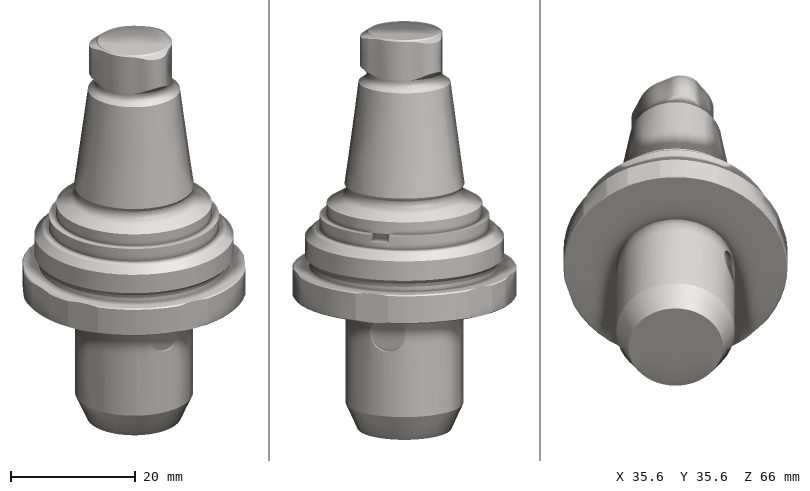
import cadquery as cq
import math

TOTAL_HEIGHT = 66.0

SHANK_RADIUS = 19.0 / 2
NOSE_RADIUS = 7.6
NOSE_HEIGHT = 4.3

FLANGE_BOTTOM = 22.05
FLANGE_TOP = 26.85
FLAT_DISTANCE = 35.6 / 2
FLAT_HALF_WIDTH = 2.7
FLANGE_RADIUS = math.hypot(FLAT_DISTANCE, FLAT_HALF_WIDTH)
FLANGE_CHAMFER = 0.2
FLAT_ANGLES = (0, 60, 90, 120, 180, 240, 270, 300)

GROOVE_RADIUS = 30.1 / 2
GROOVE_FOOT_RADIUS = 15.3
GROOVE_FOOT_TOP = 27.45
GROOVE_TOP = 28.1

COLLAR_RADIUS = 32.0 / 2
COLLAR_LOWER_CHAMFER = 0.6
COLLAR_TOP = 33.25
COLLAR_UPPER_CHAMFER = 1.3
COLLAR_CREST_ROUND = 0.65

WIDE_RING_RADIUS = 27.3 / 2
WIDE_RING_TOP = 35.45
NARROW_RING_RADIUS = 25.0 / 2
NARROW_RING_TOP = 37.5
FLARE_RADIUS = 10.0
FLARE_TOP = 38.9

UNDERCUT_RADIUS = 9.4
UNDERCUT_BOTTOM = 39.9
UNDERCUT_TOP = 40.1
TAPER_BOTTOM_RADIUS = 9.65
TAPER_BOTTOM = 40.65
TAPER_TOP_RADIUS = 7.4
TAPER_TOP = 57.55
SHOULDER_RADIUS = 6.55
SHOULDER_TOP = 58.15
NECK_RADIUS = 6.1
NECK_BOTTOM = 59.0

LOBE_COUNT = 3
HEAD_BOTTOM = 59.35
HEAD_RADIUS = 6.15
LOBE_TIP_RADIUS = 7.23
LOBE_ROUND_RADIUS = 3.05
LOBE_BLEND_RADIUS = 14.5
HEAD_TOP_FACE_RADIUS = 5.8
HEAD_TOP_CHAMFER = 0.2
LOBE_RIM_DROP = 0.6

NOTCH_WIDTH = 3.1
NOTCH_DEPTH = 1.2

SEAT_DIAMETER = 6.0
SEAT_HEIGHT = 18.0
SEAT_DISTANCE = 9.0


def revolve_outline(outline):
    return outline.close().revolve(360, (0, 0, 0), (0, 1, 0))


def turned_body():
    """Everything that is round about Z, up to the inside of the head."""
    crest_radius = COLLAR_RADIUS - COLLAR_UPPER_CHAMFER
    crest_setback = COLLAR_CREST_ROUND * math.tan(math.radians(45 / 2))
    crest_step = crest_setback / math.sqrt(2)
    outline = (
        cq.Workplane("XZ")
        .moveTo(0, 0)
        .lineTo(NOSE_RADIUS, 0)
        .lineTo(SHANK_RADIUS, NOSE_HEIGHT)
        .lineTo(SHANK_RADIUS, FLANGE_BOTTOM)
        .lineTo(GROOVE_FOOT_RADIUS, FLANGE_BOTTOM)
        .lineTo(GROOVE_FOOT_RADIUS, FLANGE_TOP)
        .lineTo(GROOVE_RADIUS, GROOVE_FOOT_TOP)
        .lineTo(GROOVE_RADIUS, GROOVE_TOP)
        .lineTo(COLLAR_RADIUS - COLLAR_LOWER_CHAMFER, GROOVE_TOP)
        .lineTo(COLLAR_RADIUS, GROOVE_TOP + COLLAR_LOWER_CHAMFER)
        .lineTo(COLLAR_RADIUS, COLLAR_TOP - COLLAR_UPPER_CHAMFER)
        .lineTo(crest_radius + crest_step, COLLAR_TOP - crest_step)
        .tangentArcPoint((crest_radius - crest_setback, COLLAR_TOP), relative=False)
        .lineTo(WIDE_RING_RADIUS, COLLAR_TOP)
        .lineTo(WIDE_RING_RADIUS, WIDE_RING_TOP)
        .lineTo(NARROW_RING_RADIUS, WIDE_RING_TOP)
        .lineTo(NARROW_RING_RADIUS, NARROW_RING_TOP)
        .lineTo(FLARE_RADIUS, FLARE_TOP)
        .tangentArcPoint((UNDERCUT_RADIUS, UNDERCUT_BOTTOM), relative=False)
        .lineTo(UNDERCUT_RADIUS, UNDERCUT_TOP)
        .lineTo(TAPER_BOTTOM_RADIUS, TAPER_BOTTOM)
        .lineTo(TAPER_TOP_RADIUS, TAPER_TOP)
        .lineTo(SHOULDER_RADIUS, SHOULDER_TOP)
        .tangentArcPoint((NECK_RADIUS, NECK_BOTTOM), relative=False)
        .lineTo(NECK_RADIUS, HEAD_BOTTOM)
        .lineTo(0, HEAD_BOTTOM)
    )
    return revolve_outline(outline)


def wrench_flange():
    """Disc with chamfered rims and flats tangent to the across-flats circle."""
    height = FLANGE_TOP - FLANGE_BOTTOM
    flange = (
        cq.Workplane("XY", origin=(0, 0, FLANGE_BOTTOM))
        .circle(FLANGE_RADIUS)
        .extrude(height)
        .edges()
        .chamfer(FLANGE_CHAMFER)
    )
    cutter = (
        cq.Workplane("XY", origin=(0, 0, FLANGE_BOTTOM))
        .center(FLAT_DISTANCE + FLANGE_RADIUS / 2, 0)
        .rect(FLANGE_RADIUS, 2 * FLANGE_RADIUS)
        .extrude(height)
    )
    for angle in FLAT_ANGLES:
        flange = flange.cut(cutter.rotate((0, 0, 0), (0, 0, 1), angle))
    return flange


def polar(radius, degrees, center=(0, 0)):
    angle = math.radians(degrees)
    return (center[0] + radius * math.cos(angle), center[1] + radius * math.sin(angle))


def lobed_outline():
    """Round outline with three lobes, joined by concave arcs tangent to both."""
    lobe_offset = LOBE_TIP_RADIUS - LOBE_ROUND_RADIUS
    blend_offset = HEAD_RADIUS + LOBE_BLEND_RADIUS
    blend_to_lobe = LOBE_ROUND_RADIUS + LOBE_BLEND_RADIUS
    cosine = (blend_offset**2 + lobe_offset**2 - blend_to_lobe**2) / (2 * blend_offset * lobe_offset)
    blend_angle = math.degrees(math.acos(cosine))
    blend_x, blend_y = polar(blend_offset, blend_angle)
    lobe_end_angle = math.degrees(math.atan2(blend_y, blend_x - lobe_offset))
    blend_mid_angle = 180 + (blend_angle + lobe_end_angle) / 2

    pitch = 360 / LOBE_COUNT
    wire = cq.Workplane("XY", origin=(0, 0, HEAD_BOTTOM))
    for index in range(LOBE_COUNT):
        axis = index * pitch
        lobe_center = polar(lobe_offset, axis)
        if index == 0:
            wire = wire.moveTo(*polar(LOBE_ROUND_RADIUS, -lobe_end_angle, lobe_center))
        wire = wire.threePointArc(
            polar(LOBE_TIP_RADIUS, axis),
            polar(LOBE_ROUND_RADIUS, axis + lobe_end_angle, lobe_center),
        )
        wire = wire.threePointArc(
            polar(LOBE_BLEND_RADIUS, axis + blend_mid_angle, polar(blend_offset, axis + blend_angle)),
            polar(HEAD_RADIUS, axis + blend_angle),
        )
        wire = wire.threePointArc(
            polar(HEAD_RADIUS, axis + pitch / 2),
            polar(HEAD_RADIUS, axis + pitch - blend_angle),
        )
        next_axis = axis + pitch
        next_blend_center = polar(blend_offset, next_axis - blend_angle)
        wire = wire.threePointArc(
            polar(LOBE_BLEND_RADIUS, next_axis - blend_mid_angle, next_blend_center),
            polar(LOBE_ROUND_RADIUS, next_axis - lobe_end_angle, polar(lobe_offset, next_axis)),
        )
    return wire.close()


def lobed_head():
    """Lobed prism trimmed by a 45 degree cone below and a chamfered shallow cone on top."""
    prism = lobed_outline().extrude(TOTAL_HEIGHT - HEAD_BOTTOM)
    trim = revolve_outline(
        cq.Workplane("XZ")
        .moveTo(0, HEAD_BOTTOM)
        .lineTo(HEAD_RADIUS, HEAD_BOTTOM)
        .lineTo(LOBE_TIP_RADIUS, HEAD_BOTTOM + LOBE_TIP_RADIUS - HEAD_RADIUS)
        .lineTo(LOBE_TIP_RADIUS, TOTAL_HEIGHT - LOBE_RIM_DROP)
        .lineTo(HEAD_TOP_FACE_RADIUS + HEAD_TOP_CHAMFER, TOTAL_HEIGHT - HEAD_TOP_CHAMFER)
        .lineTo(HEAD_TOP_FACE_RADIUS, TOTAL_HEIGHT)
        .lineTo(0, TOTAL_HEIGHT)
    )
    return prism.intersect(trim)


def locating_notch():
    """Shallow slot on the -X side, open at the top of the wide ring."""
    length = WIDE_RING_RADIUS - NARROW_RING_RADIUS
    return (
        cq.Workplane("XY", origin=(-NARROW_RING_RADIUS, 0, WIDE_RING_TOP))
        .rect(2 * length, NOTCH_WIDTH)
        .extrude(-NOTCH_DEPTH)
    )


def clamping_seat(side):
    """Flat-bottomed round recess on one side of the shank."""
    return (
        cq.Workplane("YZ", origin=(side * SEAT_DISTANCE, 0, SEAT_HEIGHT))
        .circle(SEAT_DIAMETER / 2)
        .extrude(side * SHANK_RADIUS)
    )


result = turned_body().union(wrench_flange()).union(lobed_head()).cut(locating_notch())
for seat_side in (-1, 1):
    result = result.cut(clamping_seat(seat_side))